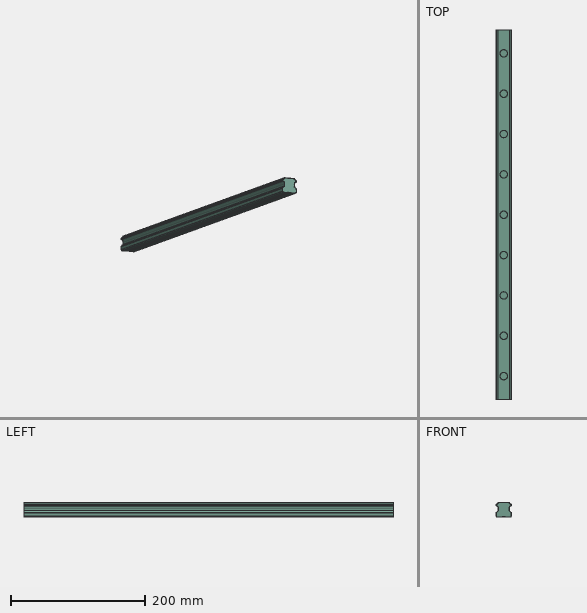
import cadquery as cq

WIDTH = 23.0
LENGTH = 550.0
HEIGHT = 22.0

FOOT_CHAMFER = 1.5
RELIEF_WIDTH = 5.0
RELIEF_DEPTH = 0.5
FOOT_SIDE_TOP = 5.9
FOOT_BEVEL_WIDTH = 0.3
FOOT_BEVEL_HEIGHT = 0.75

WAIST_WIDTH = 16.4
WAIST_TOP = 12.9

HEAD_SIDE_BOTTOM = 17.4
HEAD_SIDE_TOP = 18.6
HEAD_CHAMFER = 0.6
TOP_WIDTH = 17.0
LOWER_GROOVE_SAG = 0.95
UPPER_GROOVE_SAG = 0.85

RECESS_DIAMETER = 11.0
RECESS_DEPTH = 0.1
RECESS_COUNT = 9
RECESS_PITCH = 60.0


def make_rail():
    """Extrude the cross-section, mirrored about X = 0 and centred along Y."""
    side = WIDTH / 2
    waist = WAIST_WIDTH / 2
    relief = RELIEF_WIDTH / 2
    head_edge = side - HEAD_CHAMFER
    flank_bottom = (side - FOOT_BEVEL_WIDTH, FOOT_SIDE_TOP + FOOT_BEVEL_HEIGHT)
    flank_top = (waist, flank_bottom[1] + flank_bottom[0] - waist)

    half_profile = (
        cq.Workplane("XZ")
        .moveTo(0, RELIEF_DEPTH)
        .lineTo(relief, RELIEF_DEPTH)
        .lineTo(relief, 0)
        .lineTo(side - FOOT_CHAMFER, 0)
        .lineTo(side, FOOT_CHAMFER)
        .lineTo(side, FOOT_SIDE_TOP)
        .lineTo(*flank_bottom)
        .lineTo(*flank_top)
        .lineTo(waist, WAIST_TOP)
        .sagittaArc((head_edge, HEAD_SIDE_BOTTOM - HEAD_CHAMFER), LOWER_GROOVE_SAG)
        .lineTo(side, HEAD_SIDE_BOTTOM)
        .lineTo(side, HEAD_SIDE_TOP)
        .lineTo(head_edge, HEAD_SIDE_TOP + HEAD_CHAMFER)
        .sagittaArc((TOP_WIDTH / 2, HEIGHT), UPPER_GROOVE_SAG)
        .lineTo(0, HEIGHT)
        .close()
    )
    half_rail = half_profile.extrude(LENGTH / 2, both=True)
    return half_rail.union(half_rail.mirror("YZ")).clean()


def make_recesses():
    """Row of round recesses, spaced evenly about the middle of the rail."""
    return (
        cq.Workplane("XY", origin=(0, 0, HEIGHT - RECESS_DEPTH))
        .rarray(1, RECESS_PITCH, 1, RECESS_COUNT)
        .circle(RECESS_DIAMETER / 2)
        .extrude(RECESS_DEPTH)
    )


result = make_rail().cut(make_recesses())